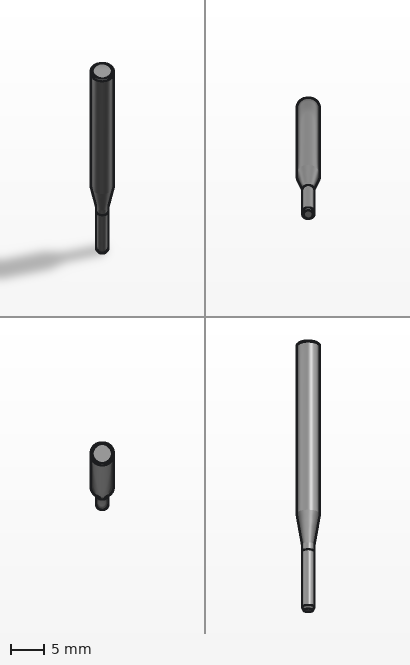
import cadquery as cq

total_length = 42.9
shank_diameter = 3.5
tip_diameter = 1.9

shank_bottom = 15.5
taper_bottom = 10.55
tip_top = 9.5

shank_chamfer = 0.3
tip_chamfer_width = 0.25
tip_chamfer_height = 0.5


def make_holder():
    """Shank with a chamfered top, tapering down to a short straight neck."""
    shank_radius = shank_diameter / 2
    neck_radius = tip_diameter / 2
    profile = [
        (0, tip_top),
        (neck_radius, tip_top),
        (neck_radius, taper_bottom),
        (shank_radius, shank_bottom),
        (shank_radius, total_length - shank_chamfer),
        (shank_radius - shank_chamfer, total_length),
        (0, total_length),
    ]
    return cq.Workplane("XZ").polyline(profile).close().revolve(360, (0, 0), (0, 1))


def make_tip():
    """Round tip, flush with the neck, with a steep chamfer at its free end."""
    tip_radius = tip_diameter / 2
    profile = [
        (0, 0),
        (tip_radius - tip_chamfer_width, 0),
        (tip_radius, tip_chamfer_height),
        (tip_radius, tip_top),
        (0, tip_top),
    ]
    return cq.Workplane("XZ").polyline(profile).close().revolve(360, (0, 0), (0, 1))


holder = make_holder()
tip = make_tip()

result = cq.Compound.makeCompound([holder.val(), tip.val()])